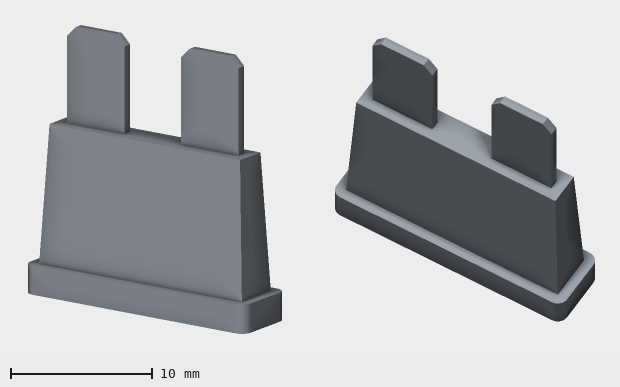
import cadquery as cq

total_height = 19.38
flange_length = 19.05
flange_width = 5.08

flange_height = 2.13
flange_radius = 0.78
flange_ledge = 0.78
body_top_z = 12.29
side_inset = 0.52
body_length = flange_length - 2 * flange_ledge
body_width = flange_width - 2 * flange_ledge
body_top_length = body_length - 2 * side_inset
body_top_width = body_width - 2 * side_inset

blade_width = 4.96
blade_thickness = 0.68
blade_spacing = 9.85
element_offset = 0.08
blade_chamfer = 0.72
bridge_height = 1.94
element_bottom_z = body_top_z - 2 * bridge_height


def make_blade(center_x):
    """Flat upright blade with both top corners cut off."""
    blade_height = total_height - element_bottom_z
    return (
        cq.Workplane("XY", origin=(center_x, element_offset, element_bottom_z))
        .box(blade_width, blade_thickness, blade_height, centered=(True, True, False))
        .faces(">Z")
        .edges("|Y")
        .chamfer(blade_chamfer)
    )


def make_element():
    """U-shaped metal element, one solid."""
    element = cq.Workplane("XY", origin=(0, element_offset, element_bottom_z)).box(
        blade_spacing, blade_thickness, bridge_height, centered=(True, True, False)
    )
    for side in (-1, 1):
        element = element.union(make_blade(side * blade_spacing / 2))
    return element


def make_housing(element):
    """Rounded flange and tapered body, with a cavity fitting the metal element."""
    flange = (
        cq.Workplane("XY")
        .box(flange_length, flange_width, flange_height, centered=(True, True, False))
        .edges("|Z")
        .fillet(flange_radius)
    )
    body = (
        cq.Workplane("XY", origin=(0, 0, flange_height))
        .rect(body_length, body_width)
        .workplane(offset=body_top_z - flange_height)
        .rect(body_top_length, body_top_width)
        .loft(ruled=True)
    )
    return flange.union(body).cut(element)


element = make_element()
housing = make_housing(element)

result = cq.Compound.makeCompound([housing.solids().val(), element.solids().val()])